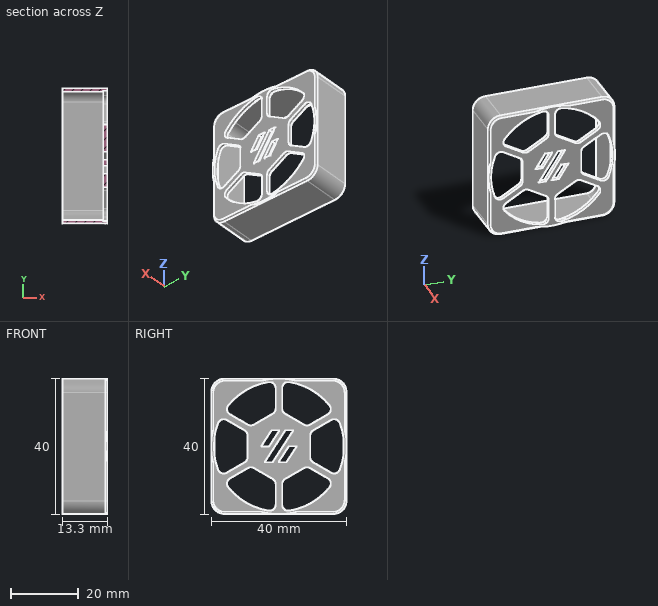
import cadquery as cq
import math

side = 40.0
depth = 13.3
wall = 1.1
corner_radius = 4.0
plate_thickness = 1.3
edge_chamfer = 0.65

window_count = 6
rim_radius = 19.2
hub_apothem = 9.3
spoke_width = 2.0
window_corner_radius = 1.75

slot_width = 2.3
slot_half_height = 4.7
slot_pitch = 4.1
slot_lean = 3.05

plate_start = depth - plate_thickness


def rounded_prism(size, radius, start, end):
    """Square prism along X with rounded lengthwise edges."""
    length = end - start
    return (
        cq.Workplane("YZ", origin=(start, 0, 0))
        .rect(size, size)
        .extrude(length)
        .edges("|X")
        .fillet(radius)
    )


def make_shell():
    """Chamfered box with a round face reaching the sides, hollowed from -X."""
    box = rounded_prism(side, corner_radius, 0, depth).faces(">X").chamfer(edge_chamfer)
    round_face = cq.Workplane("YZ", origin=(plate_start, 0, 0)).circle(side / 2).extrude(plate_thickness)
    cavity = rounded_prism(side - 2 * wall, corner_radius - wall, 0, plate_start)
    return box.union(round_face).cut(cavity)


def make_window():
    """Window centred on +Y, bounded by the hub, two spokes and the rim."""
    half_angle = math.pi / window_count
    spoke_offset = spoke_width / 2
    hub_corner = hub_apothem * math.tan(half_angle) - spoke_offset / math.cos(half_angle)
    rim_angle = half_angle - math.asin(spoke_offset / rim_radius)
    rim_y = rim_radius * math.cos(rim_angle)
    rim_z = rim_radius * math.sin(rim_angle)
    return (
        cq.Workplane("YZ", origin=(plate_start, 0, 0))
        .moveTo(hub_apothem, -hub_corner)
        .lineTo(rim_y, -rim_z)
        .threePointArc((rim_radius, 0), (rim_y, rim_z))
        .lineTo(hub_apothem, hub_corner)
        .close()
        .extrude(plate_thickness)
        .edges("|X")
        .fillet(window_corner_radius)
    )


def make_slot(center_y, bottom, top):
    """Slanted slot whose middle line crosses Z = 0 at center_y."""
    lean = slot_lean / slot_half_height
    bottom_y = center_y + lean * bottom
    top_y = center_y + lean * top
    half_width = slot_width / 2
    return (
        cq.Workplane("YZ", origin=(plate_start, 0, 0))
        .polyline([
            (bottom_y - half_width, bottom),
            (bottom_y + half_width, bottom),
            (top_y + half_width, top),
            (top_y - half_width, top),
        ])
        .close()
        .extrude(plate_thickness)
    )


result = make_shell()

window = make_window()
for index in range(window_count):
    result = result.cut(window.rotate((0, 0, 0), (1, 0, 0), index * 360 / window_count))

result = result.cut(make_slot(0, -slot_half_height, slot_half_height))
result = result.cut(make_slot(-slot_pitch, 0, slot_half_height))
result = result.cut(make_slot(slot_pitch, -slot_half_height, 0))